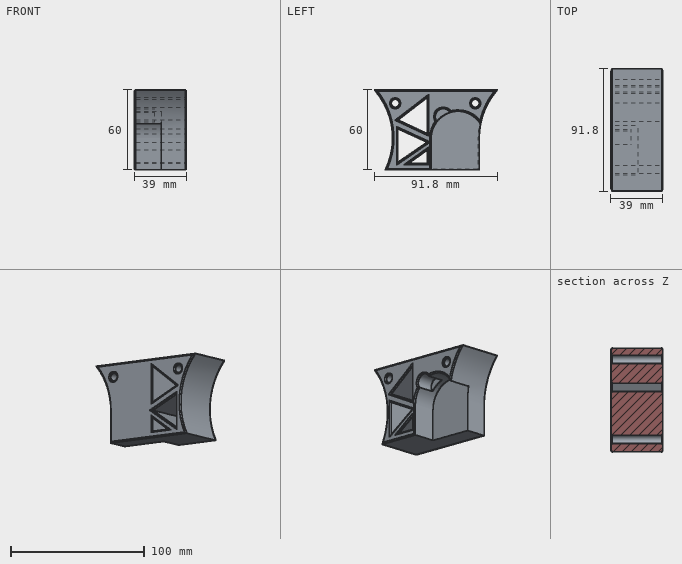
import cadquery as cq
import math

thickness = 39.0
height = 60.0
waist_z = 24.0
waist_left_y = 32.0
waist_right_y = -33.0
side_arc_radius = 55.0
edge_chamfer = 1.0

pocket_depth = 20.0
pocket_radius = 20.0
pocket_y = -17.0
pocket_overshoot = 2.0

recess_diameter = 12.0
recess_depth = 15.0
recess_y = -6.0
recess_z = 40.0

hole_diameter = 6.0
hole_spacing = 60.0
hole_z = 50.0

window_right_y = 6.0
window_left_y = 28.0
upper_window = [(window_right_y, 54.4), (window_left_y, 37.5), (window_right_y, 27.2)]
middle_window = [(window_left_y, 30.9), (window_left_y, 5.7), (window_right_y, 20.8)]
lower_window = [(window_right_y, 15.0), (20.0, 5.0), (window_right_y, 5.0)]

near_x = -thickness / 2
far_x = thickness / 2


def yz_plane(x):
    """Sketch plane at x, with local axes along Y and Z."""
    return cq.Workplane("YZ", origin=(x, 0, 0))


def flare(z):
    """Distance a concave flank stands out from its waist position at height z."""
    return side_arc_radius - math.sqrt(side_arc_radius**2 - (z - waist_z) ** 2)


def make_block():
    """Plate with arcs on both flanks; the -Y flank is straight below the waist."""
    arc_mid_z = (waist_z + height) / 2
    outline = (
        yz_plane(near_x)
        .moveTo(waist_right_y, 0)
        .lineTo(waist_left_y + flare(0), 0)
        .threePointArc((waist_left_y, waist_z), (waist_left_y + flare(height), height))
        .lineTo(waist_right_y - flare(height), height)
        .threePointArc((waist_right_y - flare(arc_mid_z), arc_mid_z), (waist_right_y, waist_z))
        .close()
    )
    return outline.extrude(thickness).faces("<X or >X").chamfer(edge_chamfer)


def pocket_outline(x, margin):
    """Arch with straight legs that run out below the bottom face, grown by a margin."""
    radius = pocket_radius + margin
    left_y = pocket_y + radius
    right_y = pocket_y - radius
    return (
        yz_plane(x)
        .moveTo(right_y, -pocket_overshoot)
        .lineTo(left_y, -pocket_overshoot)
        .lineTo(left_y, waist_z)
        .threePointArc((pocket_y, waist_z + radius), (right_y, waist_z))
        .close()
    )


def circle_outline(y, z, diameter):
    """Outline function of a circle that can be grown by a margin."""
    return lambda x, margin: yz_plane(x).center(y, z).circle(diameter / 2 + margin)


def window_outline(corners):
    """Outline function of a sharp-cornered polygon that can be grown by a margin."""

    def outline(x, margin):
        polygon = yz_plane(x).polyline(corners).close()
        if margin > 0:
            polygon = polygon.offset2D(margin, "intersection")
        return polygon

    return outline


def mouth_chamfer(outline, x, inward):
    """Tapered cutter that chamfers the mouth of an outline on the face at x."""
    return outline(x, edge_chamfer).extrude(inward * edge_chamfer, taper=45)


def cut_blind(body, outline, depth):
    """Cut an outline into the -X face and chamfer its mouth."""
    body = body.cut(outline(near_x, 0).extrude(depth))
    return body.cut(mouth_chamfer(outline, near_x, 1))


def cut_through(body, outline):
    """Cut an outline through the whole thickness and chamfer both mouths."""
    body = cut_blind(body, outline, thickness)
    return body.cut(mouth_chamfer(outline, far_x, -1))


part = make_block()
part = cut_blind(part, pocket_outline, pocket_depth)
part = cut_blind(part, circle_outline(recess_y, recess_z, recess_diameter), recess_depth)

for hole_y in (-hole_spacing / 2, hole_spacing / 2):
    part = cut_through(part, circle_outline(hole_y, hole_z, hole_diameter))

for corners in (upper_window, middle_window, lower_window):
    part = cut_through(part, window_outline(corners))

result = part.solids()